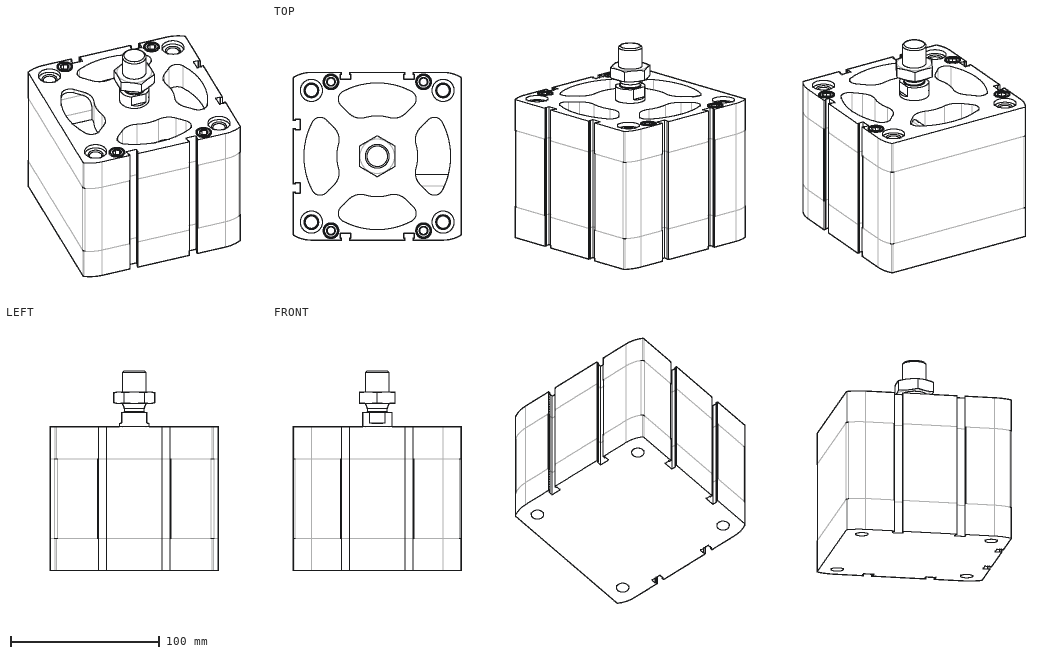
import cadquery as cq
import math

BODY_WIDTH = 113.5
BODY_HEIGHT = 97.2
CAP_HEIGHT = 21.7
CORNER_ARC_START = 44.5
CORNER_ARC_END = 53.2
CAP_CORNER_RADIUS = 1.1
TUBE_CORNER_RADIUS = 2.3

HALF_WIDTH = BODY_WIDTH / 2
TUBE_HEIGHT = BODY_HEIGHT - 2 * CAP_HEIGHT
TOP_CAP_BASE = BODY_HEIGHT - CAP_HEIGHT

SLOT_POSITION = 21.5
SLOT_OPENING = 5.7
SLOT_INNER_WIDTH = 7.0
SLOT_LIP = 1.5
SLOT_DEPTH = 4.7
SLOT_LIP_BEVEL = 0.4
SLOT_TURNS = (0, 90, -90)

POCKET_OUTER_RADIUS = 49.6
POCKET_INNER_RADIUS = 27.4
POCKET_DEPTH = 19.0
POCKET_WEB = 13.9
POCKET_OUTER_FILLET = 12.0 / 2
POCKET_INNER_FILLET = 11.6

PORT_BOSS_RADIUS = 16.0 / 2
PORT_Y = -20.2
PORT_Z = BODY_HEIGHT - CAP_HEIGHT / 2

HOLE_OFFSET = 44.5
HOLE_DIAMETER = 8.4
HOLE_CHAMFER_DIAMETER = 10.0
COUNTERBORE_DIAMETER = 15.0
COUNTERBORE_DEPTH = 2.8

SCREW_X = 31.3
SCREW_Y = 50.3
SCREW_RECESS_DIAMETER = 10.6
SCREW_HEAD_DIAMETER = 10.0
SCREW_FACE_DIAMETER = 8.6
SCREW_RECESS_DEPTH = 2.0
SOCKET_FLATS = 5.0
SOCKET_MOUTH_DIAMETER = 5.9
SOCKET_DEPTH = 4.0
SOCKET_CONE_DEPTH = 1.3

OVERALL_HEIGHT = 134.8
ROD_DIAMETER = 20.0
ROD_SHOULDER_Z = 106.8
THREAD_DIAMETER = 16.0
THREAD_CHAMFER = 1.1
NECK_DIAMETER = 13.5
NECK_FOOT_DIAMETER = 14.4
NECK_FOOT_HEIGHT = 0.5
NECK_TOP_Z = 109.3
WRENCH_FLATS = 17.0
WRENCH_FLAT_Z = 99.8
WRENCH_LEDGE_DROP = 0.5

NUT_FLATS = 24.0
NUT_HEIGHT = 7.8
NUT_BASE_Z = 112.8
NUT_FACE_DIAMETER = 23.3
NUT_CHAMFER = 0.5


def hexagon_corners(across_flats):
    """Diameter across the corners of a hexagon."""
    return across_flats / math.cos(math.pi / 6)


def hexagonal_prism(across_flats, height):
    """Prism rising from Z = 0 with two of its corners on the Y axis."""
    prism = cq.Workplane("XY").polygon(6, hexagon_corners(across_flats)).extrude(height)
    return prism.rotate((0, 0, 0), (0, 0, 1), 90)


def housing_section(base, height, corner_radius):
    """Square block whose Y sides curve back towards the X sides at the corners."""
    run = HALF_WIDTH - CORNER_ARC_START
    drop = HALF_WIDTH - CORNER_ARC_END
    radius = (run**2 + drop**2) / (2 * drop)
    half_angle = math.asin(run / radius) / 2
    mid_x = CORNER_ARC_START + radius * math.sin(half_angle)
    mid_y = HALF_WIDTH - radius * (1 - math.cos(half_angle))

    section = (
        cq.Workplane("XY")
        .workplane(offset=base)
        .moveTo(-CORNER_ARC_START, HALF_WIDTH)
        .lineTo(CORNER_ARC_START, HALF_WIDTH)
        .threePointArc((mid_x, mid_y), (HALF_WIDTH, CORNER_ARC_END))
        .lineTo(HALF_WIDTH, -CORNER_ARC_END)
        .threePointArc((mid_x, -mid_y), (CORNER_ARC_START, -HALF_WIDTH))
        .lineTo(-CORNER_ARC_START, -HALF_WIDTH)
        .threePointArc((-mid_x, -mid_y), (-HALF_WIDTH, -CORNER_ARC_END))
        .lineTo(-HALF_WIDTH, CORNER_ARC_END)
        .threePointArc((-mid_x, mid_y), (-CORNER_ARC_START, HALF_WIDTH))
        .close()
        .extrude(height)
    )
    return section.edges("|Z and (<X or >X)").fillet(corner_radius)


def t_slot(side):
    """T-slot cutter in the -X side; side is +1 or -1 for its place along Y."""
    outer_face = -HALF_WIDTH
    centre = side * SLOT_POSITION
    opening = (
        cq.Workplane("XY")
        .center(outer_face + SLOT_DEPTH / 2, centre)
        .rect(SLOT_DEPTH, SLOT_OPENING)
        .extrude(BODY_HEIGHT)
    )
    inner_depth = SLOT_DEPTH - SLOT_LIP
    inner = (
        cq.Workplane("XY")
        .center(outer_face + SLOT_LIP + inner_depth / 2, centre)
        .rect(inner_depth, SLOT_INNER_WIDTH)
        .extrude(BODY_HEIGHT)
    )
    lip = side * (SLOT_POSITION + SLOT_OPENING / 2)
    bevel = (
        cq.Workplane("XY")
        .workplane(offset=CAP_HEIGHT)
        .moveTo(outer_face, lip)
        .lineTo(outer_face, lip + side * SLOT_LIP_BEVEL)
        .lineTo(outer_face + SLOT_LIP_BEVEL, lip)
        .close()
        .extrude(TUBE_HEIGHT)
    )
    return opening.union(inner).union(bevel)


def cut_slots(section):
    """Cut the pair of T-slots into each slotted side of a housing section."""
    for turn in SLOT_TURNS:
        for side in (-1, 1):
            section = section.cut(t_slot(side).rotate((0, 0, 0), (0, 0, 1), turn))
    return section


def pocket():
    """Rounded ring-sector cutter for the pocket on the +X side."""
    floor = cq.Workplane("XY").workplane(offset=BODY_HEIGHT - POCKET_DEPTH)
    ring = floor.circle(POCKET_OUTER_RADIUS).circle(POCKET_INNER_RADIUS).extrude(POCKET_DEPTH)
    apex = POCKET_WEB / math.sqrt(2)
    wedge = (
        floor.moveTo(apex, 0)
        .lineTo(apex + BODY_WIDTH, BODY_WIDTH)
        .lineTo(apex + BODY_WIDTH, -BODY_WIDTH)
        .close()
        .extrude(POCKET_DEPTH)
    )
    sector = ring.intersect(wedge)
    sector = sector.edges("|Z and >Y or |Z and <Y").fillet(POCKET_OUTER_FILLET)
    inner_corners = cq.selectors.BoxSelector(
        (0, -POCKET_INNER_RADIUS, 0),
        (POCKET_INNER_RADIUS, POCKET_INNER_RADIUS, BODY_HEIGHT),
    )
    return sector.edges("|Z").edges(inner_corners).fillet(POCKET_INNER_FILLET)


def port_boss():
    """Boss around the port axis along X, filling the -Y end of the +X pocket."""
    floor_z = BODY_HEIGHT - POCKET_DEPTH
    inner_y = PORT_Y + PORT_BOSS_RADIUS
    end_y = PORT_Y - 2 * PORT_BOSS_RADIUS
    top_z = PORT_Z + PORT_BOSS_RADIUS
    diagonal = PORT_BOSS_RADIUS * math.sqrt(0.5)
    return (
        cq.Workplane("YZ")
        .moveTo(end_y, floor_z)
        .lineTo(inner_y, floor_z)
        .lineTo(inner_y, PORT_Z)
        .threePointArc((PORT_Y + diagonal, PORT_Z + diagonal), (PORT_Y, top_z))
        .lineTo(end_y, top_z)
        .close()
        .extrude(HALF_WIDTH)
    )


def mounting_hole():
    """Stepped through-hole cutter on the Z axis: counterbore, chamfer and bore."""
    bore_radius = HOLE_DIAMETER / 2
    chamfer_radius = HOLE_CHAMFER_DIAMETER / 2
    chamfer = chamfer_radius - bore_radius
    step_z = BODY_HEIGHT - COUNTERBORE_DEPTH
    return (
        cq.Workplane("XZ")
        .moveTo(0, 0)
        .lineTo(bore_radius, 0)
        .lineTo(bore_radius, step_z - chamfer)
        .lineTo(chamfer_radius, step_z)
        .lineTo(COUNTERBORE_DIAMETER / 2, step_z)
        .lineTo(COUNTERBORE_DIAMETER / 2, BODY_HEIGHT)
        .lineTo(0, BODY_HEIGHT)
        .close()
        .revolve(360, (0, 0), (0, 1))
    )


def screw_cutter():
    """Groove around a flush screw head, and its hexagonal socket, on the Z axis."""
    face_radius = SCREW_FACE_DIAMETER / 2
    head_radius = SCREW_HEAD_DIAMETER / 2
    recess_radius = SCREW_RECESS_DIAMETER / 2
    groove_z = BODY_HEIGHT - SCREW_RECESS_DEPTH
    groove = (
        cq.Workplane("XZ")
        .moveTo(face_radius, BODY_HEIGHT)
        .lineTo(head_radius, BODY_HEIGHT - (head_radius - face_radius))
        .lineTo(head_radius, groove_z)
        .lineTo(recess_radius, groove_z)
        .lineTo(recess_radius, BODY_HEIGHT)
        .close()
        .revolve(360, (0, 0), (0, 1))
    )
    socket_z = BODY_HEIGHT - SOCKET_DEPTH
    socket = hexagonal_prism(SOCKET_FLATS, SOCKET_DEPTH).translate((0, 0, socket_z))
    mouth_radius = SOCKET_MOUTH_DIAMETER / 2
    mouth = (
        cq.Workplane("XZ")
        .moveTo(0, BODY_HEIGHT)
        .lineTo(mouth_radius, BODY_HEIGHT)
        .lineTo(0, BODY_HEIGHT - mouth_radius)
        .close()
        .revolve(360, (0, 0), (0, 1))
    )
    cone = (
        cq.Workplane("XZ")
        .moveTo(0, socket_z)
        .lineTo(SOCKET_FLATS / 2, socket_z)
        .lineTo(0, socket_z - SOCKET_CONE_DEPTH)
        .close()
        .revolve(360, (0, 0), (0, 1))
    )
    return groove.union(socket.union(cone).union(mouth))


def four_corners(x, y):
    return [(sx * x, sy * y, 0) for sx in (-1, 1) for sy in (-1, 1)]


def make_housing():
    """Caps and tube joined into one solid, keeping the seams between their side faces."""
    bottom_cap = housing_section(0, CAP_HEIGHT, CAP_CORNER_RADIUS)
    tube = housing_section(CAP_HEIGHT, TUBE_HEIGHT, TUBE_CORNER_RADIUS)
    top_cap = housing_section(TOP_CAP_BASE, CAP_HEIGHT, CAP_CORNER_RADIUS)
    housing = cut_slots(bottom_cap)
    for section in (tube, top_cap):
        housing = housing.union(cut_slots(section), clean=False)

    cutters = []
    for turn in (90, 180, 270):
        cutters.append(pocket().rotate((0, 0, 0), (0, 0, 1), turn))
    cutters.append(pocket().cut(port_boss()))
    for place in four_corners(HOLE_OFFSET, HOLE_OFFSET):
        cutters.append(mounting_hole().translate(place))
    for place in four_corners(SCREW_X, SCREW_Y):
        cutters.append(screw_cutter().translate(place))

    for cutter in cutters:
        housing = housing.cut(cutter, clean=False)
    return housing


def make_rod():
    """Turned rod standing on the top cap, with two wrench flats on its shoulder."""
    neck_radius = NECK_DIAMETER / 2
    thread_radius = THREAD_DIAMETER / 2
    rod_radius = ROD_DIAMETER / 2
    rod = (
        cq.Workplane("XZ")
        .moveTo(0, BODY_HEIGHT)
        .lineTo(rod_radius, BODY_HEIGHT)
        .lineTo(rod_radius, ROD_SHOULDER_Z)
        .lineTo(NECK_FOOT_DIAMETER / 2, ROD_SHOULDER_Z)
        .lineTo(neck_radius, ROD_SHOULDER_Z + NECK_FOOT_HEIGHT)
        .lineTo(neck_radius, NECK_TOP_Z)
        .lineTo(thread_radius, NUT_BASE_Z)
        .lineTo(thread_radius, OVERALL_HEIGHT - THREAD_CHAMFER)
        .lineTo(thread_radius - THREAD_CHAMFER, OVERALL_HEIGHT)
        .lineTo(0, OVERALL_HEIGHT)
        .close()
        .revolve(360, (0, 0), (0, 1))
    )
    for side in (-1, 1):
        flat_cutter = (
            cq.Workplane("YZ")
            .moveTo(side * WRENCH_FLATS / 2, ROD_SHOULDER_Z)
            .lineTo(side * WRENCH_FLATS / 2, WRENCH_FLAT_Z)
            .lineTo(side * rod_radius, WRENCH_FLAT_Z - WRENCH_LEDGE_DROP)
            .lineTo(side * rod_radius, ROD_SHOULDER_Z)
            .close()
            .extrude(rod_radius, both=True)
        )
        rod = rod.cut(flat_cutter)
    return rod


def make_nut():
    """Hexagon nut, its corners chamfered on both faces, on the rod's thread."""
    face_radius = NUT_FACE_DIAMETER / 2
    corner_radius = hexagon_corners(NUT_FLATS) / 2
    chamfered_disc = (
        cq.Workplane("XZ")
        .moveTo(THREAD_DIAMETER / 2, 0)
        .lineTo(face_radius, 0)
        .lineTo(corner_radius, NUT_CHAMFER)
        .lineTo(corner_radius, NUT_HEIGHT - NUT_CHAMFER)
        .lineTo(face_radius, NUT_HEIGHT)
        .lineTo(THREAD_DIAMETER / 2, NUT_HEIGHT)
        .close()
        .revolve(360, (0, 0), (0, 1))
    )
    nut = hexagonal_prism(NUT_FLATS, NUT_HEIGHT).intersect(chamfered_disc)
    return nut.translate((0, 0, NUT_BASE_Z))


housing = make_housing()
rod = make_rod()
nut = make_nut()

result = cq.Compound.makeCompound([housing.val(), rod.val(), nut.val()])